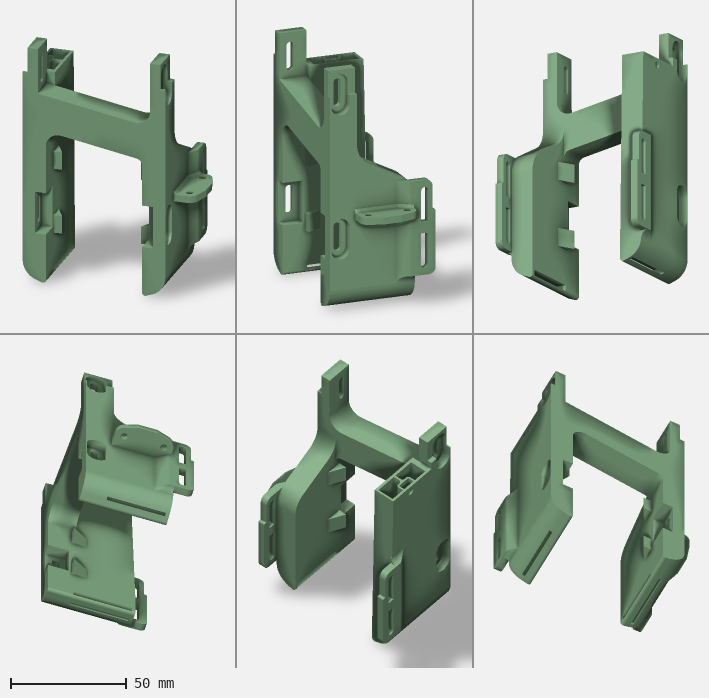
import cadquery as cq
import math


HEIGHT = 108.9
FRAME_DEPTH = 12.6
ARM_OUTER = 32.5
ARM_INNER = 21.9
ARM_DEPTH = 39.5
ARM_TOP_DEPTH = 37.8
ARM_TOP = 93.7
TAPER_START = 9.8

TAB_OUTER = 30.3
TAB_INNER = 25.5
TAB_STEP = 97.6

UPPER_FRAME_BASE = 43.6
BRIDGE_ANGLE = 10.0
BRIDGE_TOP_LEFT = 88.1
BRIDGE_BOTTOM_LEFT = 71.0
BRIDGE_FILLET = 6.0
BRIDGE_SMALL_FILLET = 3.0

FOOT_ANGLE = 19.0
FOOT_INNER = -0.52
FOOT_OUTER_FILLET = 9.1
FOOT_INNER_FILLET = 1.3

GUSSET_ANGLE = 27.0
GUSSET_START = 68.1
GUSSET_FILLET = 10.1

SLOT_WIDTH = 3.2
SLOT_LENGTH = 12.9
RECESS_MARGIN = 2.7
RECESS_DEPTH = 4.0
SLOT_Y = 4.9
SLOT_HEIGHTS = (32.6, 98.0)

NOTCH_DEPTH = 4.9
NOTCH_Y = 9.4
NOTCH_BOTTOM = 22.7
NOTCH_TOP = 42.0

WEDGE_REACH = 3.9
WEDGE_FRONT = 10.5
WEDGE_BACK = 17.8
WEDGE_HEIGHT = 8.2
WEDGE_BOTTOMS = (19.5, 49.3)

BELT_FRONT = 11.4
BELT_BACK = 37.9
BELT_BOTTOM = 0.9
BELT_TOP = 3.5
BELT_DEPTH = 5.4

EAR_INNER = 32.2
EAR_OUTER = 35.5
EAR_START = 31.3
EAR_RAMP_END = 36.3
EAR_RAMP_FILLET = 2.2
EAR_BODY_BACK = 39.2
EAR_UPPER_BACK = 46.6
EAR_BACK = 48.0
EAR_BOTTOM = 12.6
EAR_TOP = 55.8
EAR_STEP = 41.9
EAR_FILLET = 3.3
EAR_STEP_FILLET = 0.7
EAR_FLARE = EAR_OUTER - ARM_OUTER
STRAP_FRONT = 41.3
STRAP_WIDTH = 3.2
STRAP_OUTER_ENDS = (15.7, 52.5)
STRAP_INNER_ENDS = (31.6, 36.7)

LUG_BOTTOM = 41.0
LUG_THICKNESS = 3.2
LUG_REACH = 44.1
LUG_CENTER_Y = 24.5
LUG_HOLE_X = 38.3
LUG_HOLE_OFFSET = 8.9
LUG_HOLE_DIAMETER = 3.2
LUG_CORNER_RADIUS = 4.1
LUG_SIDE_ANGLE = 17.0
LUG_CHAMFER = 1.3

CAVITY_OUTER = 31.3
CAVITY_INNER = 23.2
CAVITY_FRONT = 15.2
CAVITY_BACK = 36.8
DIVIDER_Y = 26.1
PARTITION_WALL = 1.0
BOX_INNER = 27.4
BOX_WIDTH = 7.8
BOX_WALL = 0.9
BOX_CHAMFER = 0.9
CAVITY_BOTTOM = 54.5
COMPARTMENT_FLOOR = 76.2
FRONT_FLOOR_ANGLE = 27.0
BACK_FLOOR_ANGLE = 20.0
FLOOR_FILLET = 7.6
POCKET_FLOOR = 85.0
POCKET_FLOOR_ANGLE = 27.0
PIN_DIAMETER = 3.3
PIN_Z = 90.4


def block(x0, x1, y0, y1, z0, z1):
    return cq.Workplane("XY").box(x1 - x0, y1 - y0, z1 - z0, centered=False).translate((x0, y0, z0))


def side_profile(points, x0, x1):
    """Extrude a closed (Y, Z) outline from x0 to x1."""
    return cq.Workplane("YZ").workplane(offset=x0).polyline(points).close().extrude(x1 - x0)


def front_profile(points, y0, y1):
    """Extrude a closed (X, Z) outline from y0 to y1."""
    return cq.Workplane("XZ").workplane(offset=-y1).polyline(points).close().extrude(y1 - y0)


def plan_profile(points, z0, z1):
    """Extrude a closed (X, Y) outline from z0 to z1."""
    return cq.Workplane("XY").workplane(offset=z0).polyline(points).close().extrude(z1 - z0)


def round_edge(body, direction, point, radius):
    """Fillet the edge along `direction` that lies nearest to `point`."""
    return body.edges(f"|{direction}").edges(cq.NearestToPointSelector(point)).fillet(radius)


def mirrored(body):
    return body.mirror("YZ")


def tangent(degrees):
    return math.tan(math.radians(degrees))


def right_arm_column():
    """Full-depth column with a sloped and rounded foot."""
    foot_outer = FOOT_INNER + (ARM_OUTER - ARM_INNER) * tangent(FOOT_ANGLE)
    outline = [(ARM_INNER, FOOT_INNER), (ARM_OUTER, foot_outer),
               (ARM_OUTER, ARM_TOP), (ARM_INNER, ARM_TOP)]
    column = front_profile(outline, 0, ARM_DEPTH)
    column = round_edge(column, "Y", (ARM_OUTER, ARM_DEPTH / 2, foot_outer), FOOT_OUTER_FILLET)
    return round_edge(column, "Y", (ARM_INNER, ARM_DEPTH / 2, FOOT_INNER), FOOT_INNER_FILLET)


def left_arm():
    side = [(0, FOOT_INNER), (ARM_DEPTH, FOOT_INNER), (ARM_DEPTH, TAPER_START),
            (ARM_TOP_DEPTH, ARM_TOP), (0, ARM_TOP)]
    envelope = side_profile(side, -ARM_OUTER, -ARM_INNER)
    return mirrored(right_arm_column()).intersect(envelope)


def right_arm():
    slope = tangent(GUSSET_ANGLE)
    back_top = GUSSET_START - (ARM_DEPTH - FRAME_DEPTH) * slope
    side = [(0, FOOT_INNER), (ARM_DEPTH, FOOT_INNER), (ARM_DEPTH, back_top),
            (FRAME_DEPTH, GUSSET_START), (FRAME_DEPTH, ARM_TOP), (0, ARM_TOP)]
    middle_x = (ARM_INNER + ARM_OUTER) / 2
    envelope = side_profile(side, ARM_INNER, ARM_OUTER)
    envelope = round_edge(envelope, "X", (middle_x, ARM_DEPTH, back_top), GUSSET_FILLET)
    envelope = round_edge(envelope, "X", (middle_x, FRAME_DEPTH, GUSSET_START), GUSSET_FILLET)
    return right_arm_column().intersect(envelope)


def upper_frame():
    """Bridge with the stepped mounting tabs above it."""
    slope = tangent(BRIDGE_ANGLE)
    top_right = BRIDGE_TOP_LEFT - 2 * TAB_INNER * slope
    bottom_right = BRIDGE_BOTTOM_LEFT - 2 * ARM_INNER * slope
    base = UPPER_FRAME_BASE
    outline = [
        (-ARM_OUTER, base), (-ARM_OUTER, TAB_STEP), (-TAB_OUTER, TAB_STEP), (-TAB_OUTER, HEIGHT),
        (-TAB_INNER, HEIGHT), (-TAB_INNER, BRIDGE_TOP_LEFT), (TAB_INNER, top_right), (TAB_INNER, HEIGHT),
        (TAB_OUTER, HEIGHT), (TAB_OUTER, TAB_STEP), (ARM_OUTER, TAB_STEP), (ARM_OUTER, base),
        (ARM_INNER, base), (ARM_INNER, bottom_right), (-ARM_INNER, BRIDGE_BOTTOM_LEFT), (-ARM_INNER, base),
    ]
    middle_y = FRAME_DEPTH / 2
    frame = front_profile(outline, 0, FRAME_DEPTH)
    frame = round_edge(frame, "Y", (TAB_INNER, middle_y, top_right), BRIDGE_FILLET)
    frame = round_edge(frame, "Y", (-ARM_INNER, middle_y, BRIDGE_BOTTOM_LEFT), BRIDGE_FILLET)
    return round_edge(frame, "Y", (ARM_INNER, middle_y, bottom_right), BRIDGE_SMALL_FILLET)


def frame_and_arms():
    right = right_arm().cut(block(0, ARM_OUTER, 0, FRAME_DEPTH, UPPER_FRAME_BASE, ARM_TOP))
    left = left_arm().cut(block(-ARM_OUTER, 0, 0, FRAME_DEPTH, UPPER_FRAME_BASE, ARM_TOP))
    return upper_frame().union(left).union(right)


def screw_slot(z):
    width = SLOT_WIDTH + 2 * RECESS_MARGIN
    length = SLOT_LENGTH + 2 * RECESS_MARGIN
    plane = cq.Workplane("YZ").center(SLOT_Y, z)
    through = plane.workplane(offset=ARM_INNER).slot2D(SLOT_LENGTH, SLOT_WIDTH, 90)
    through = through.extrude(ARM_OUTER - ARM_INNER)
    recess = plane.workplane(offset=ARM_OUTER - RECESS_DEPTH).slot2D(length, width, 90)
    recess = recess.extrude(RECESS_DEPTH)
    return through.union(recess)


def arm_cuts():
    cuts = block(ARM_INNER, ARM_INNER + NOTCH_DEPTH, 0, NOTCH_Y, NOTCH_BOTTOM, NOTCH_TOP)
    belt_opening = block(ARM_INNER, ARM_INNER + BELT_DEPTH, BELT_FRONT, BELT_BACK, BELT_BOTTOM, BELT_TOP)
    cuts = cuts.union(belt_opening)
    for z in SLOT_HEIGHTS:
        cuts = cuts.union(screw_slot(z))
    return cuts


def guide_wedge(bottom):
    points = [(ARM_INNER, WEDGE_FRONT), (ARM_INNER - WEDGE_REACH, WEDGE_FRONT), (ARM_INNER, WEDGE_BACK)]
    return plan_profile(points, bottom, bottom + WEDGE_HEIGHT)


def strap_slot(outer_end, inner_end):
    """Slot with a round outer end and a square inner end."""
    radius = STRAP_WIDTH / 2
    toward_end = math.copysign(radius, outer_end - inner_end)
    back = STRAP_FRONT + STRAP_WIDTH
    return (
        cq.Workplane("YZ").workplane(offset=EAR_INNER)
        .moveTo(STRAP_FRONT, inner_end)
        .lineTo(STRAP_FRONT, outer_end - toward_end)
        .threePointArc((STRAP_FRONT + radius, outer_end), (back, outer_end - toward_end))
        .lineTo(back, inner_end)
        .close().extrude(EAR_OUTER - EAR_INNER)
    )


def ear(flare_at_top):
    """Slotted ear that ramps out of the arm side and reaches past its back."""
    flare_bottom = EAR_BOTTOM - EAR_FLARE
    flare_top = EAR_TOP + EAR_FLARE if flare_at_top else EAR_TOP

    strip_start = EAR_START - EAR_RAMP_FILLET
    plan = [(EAR_INNER, strip_start), (ARM_OUTER, strip_start), (ARM_OUTER, EAR_START),
            (EAR_OUTER, EAR_RAMP_END), (EAR_OUTER, EAR_BACK), (EAR_INNER, EAR_BACK)]
    body = plan_profile(plan, flare_bottom, flare_top)
    body = round_edge(body, "Z", (ARM_OUTER, EAR_START, EAR_STEP), EAR_RAMP_FILLET)
    body = round_edge(body, "Z", (EAR_OUTER, EAR_RAMP_END, EAR_STEP), EAR_RAMP_FILLET)

    outline = [(strip_start, flare_bottom), (EAR_BODY_BACK, flare_bottom), (EAR_BODY_BACK, EAR_BOTTOM),
               (EAR_BACK, EAR_BOTTOM), (EAR_BACK, EAR_STEP), (EAR_UPPER_BACK, EAR_STEP),
               (EAR_UPPER_BACK, EAR_TOP), (EAR_BODY_BACK, EAR_TOP)]
    if flare_at_top:
        outline.append((EAR_BODY_BACK, flare_top))
    outline.append((strip_start, flare_top))
    middle_x = (EAR_INNER + EAR_OUTER) / 2
    envelope = side_profile(outline, EAR_INNER, EAR_OUTER)
    envelope = round_edge(envelope, "X", (middle_x, EAR_BACK, EAR_BOTTOM), EAR_FILLET)
    envelope = round_edge(envelope, "X", (middle_x, EAR_UPPER_BACK, EAR_TOP), EAR_FILLET)
    envelope = round_edge(envelope, "X", (middle_x, EAR_BACK, EAR_STEP), EAR_STEP_FILLET)
    body = body.intersect(envelope)

    flare_ends = [flare_bottom, flare_top] if flare_at_top else [flare_bottom]
    for z in flare_ends:
        rounding = (
            cq.Workplane("XZ").workplane(offset=-EAR_BODY_BACK)
            .center(ARM_OUTER + EAR_FLARE, z).circle(EAR_FLARE)
            .extrude(EAR_BODY_BACK - strip_start)
        )
        body = body.cut(rounding)

    for outer_end, inner_end in zip(STRAP_OUTER_ENDS, STRAP_INNER_ENDS):
        body = body.cut(strap_slot(outer_end, inner_end))
    return body


def lug():
    angle = math.radians(LUG_SIDE_ANGLE)
    corner_dx = LUG_CORNER_RADIUS * math.cos(angle)
    corner_dy = LUG_CORNER_RADIUS * math.sin(angle)
    mid_angle = (angle + math.pi / 2) / 2
    mid_dx = LUG_CORNER_RADIUS * math.cos(mid_angle)
    mid_dy = LUG_CORNER_RADIUS * math.sin(mid_angle)
    side_x = LUG_HOLE_X + corner_dx
    tip_y = LUG_HOLE_OFFSET + corner_dy - (LUG_REACH - side_x) / math.tan(angle)
    edge_y = LUG_HOLE_OFFSET + LUG_CORNER_RADIUS
    plate = (
        cq.Workplane("XY").workplane(offset=LUG_BOTTOM).center(0, LUG_CENTER_Y)
        .moveTo(EAR_INNER, -edge_y)
        .lineTo(LUG_HOLE_X, -edge_y)
        .threePointArc((LUG_HOLE_X + mid_dx, -LUG_HOLE_OFFSET - mid_dy),
                       (side_x, -LUG_HOLE_OFFSET - corner_dy))
        .lineTo(LUG_REACH, -tip_y)
        .lineTo(LUG_REACH, tip_y)
        .lineTo(side_x, LUG_HOLE_OFFSET + corner_dy)
        .threePointArc((LUG_HOLE_X + mid_dx, LUG_HOLE_OFFSET + mid_dy), (LUG_HOLE_X, edge_y))
        .lineTo(EAR_INNER, edge_y)
        .close().extrude(LUG_THICKNESS)
    )
    holes = (
        cq.Workplane("XY").workplane(offset=LUG_BOTTOM)
        .pushPoints([(LUG_HOLE_X, LUG_CENTER_Y + side * LUG_HOLE_OFFSET) for side in (-1, 1)])
        .circle(LUG_HOLE_DIAMETER / 2).extrude(LUG_THICKNESS)
    )
    return plate.cut(holes).union(lug_bevel(edge_y))


def lug_bevel(edge_y):
    """45 degree bevel on top of the lug, following the arm side and the ear's ramp."""
    top = LUG_BOTTOM + LUG_THICKNESS
    front = LUG_CENTER_Y - edge_y
    back = LUG_CENTER_Y + edge_y
    path = [(ARM_INNER, 0), (ARM_OUTER, 0), (ARM_OUTER, EAR_START), (EAR_OUTER, EAR_RAMP_END),
            (EAR_OUTER, EAR_BACK), (ARM_INNER, EAR_BACK)]
    bevel = (
        cq.Workplane("XY").workplane(offset=top)
        .polyline(path).close().offset2D(LUG_CHAMFER, "intersection")
        .extrude(LUG_CHAMFER, taper=45)
    )
    return bevel.intersect(block(EAR_INNER, LUG_REACH, front, back, top, top + LUG_CHAMFER))


def front_compartment():
    """Floor falls toward the front, curving up into the partition."""
    back = DIVIDER_Y - PARTITION_WALL / 2
    floor_front = COMPARTMENT_FLOOR - (back - CAVITY_FRONT) * tangent(FRONT_FLOOR_ANGLE)
    outline = [(CAVITY_FRONT, floor_front), (back, COMPARTMENT_FLOOR),
               (back, ARM_TOP), (CAVITY_FRONT, ARM_TOP)]
    space = side_profile(outline, -CAVITY_OUTER, -CAVITY_INNER)
    middle_x = -(CAVITY_OUTER + CAVITY_INNER) / 2
    return round_edge(space, "X", (middle_x, back, COMPARTMENT_FLOOR), FLOOR_FILLET)


def back_compartment():
    """Floor falls toward the inner side, curving up into the outer wall."""
    front = DIVIDER_Y + PARTITION_WALL / 2
    floor_inner = COMPARTMENT_FLOOR - (CAVITY_OUTER - CAVITY_INNER) * tangent(BACK_FLOOR_ANGLE)
    outline = [(-CAVITY_OUTER, COMPARTMENT_FLOOR), (-CAVITY_INNER, floor_inner),
               (-CAVITY_INNER, ARM_TOP), (-CAVITY_OUTER, ARM_TOP)]
    space = front_profile(outline, front, CAVITY_BACK)
    middle_y = (front + CAVITY_BACK) / 2
    return round_edge(space, "Y", (-CAVITY_OUTER, middle_y, COMPARTMENT_FLOOR), FLOOR_FILLET)


def divider():
    """Screw box on the outer wall, chamfered and flared into the partition."""
    half_box = BOX_WIDTH / 2
    half_wall = PARTITION_WALL / 2
    half_outline = [
        (-CAVITY_OUTER, half_box),
        (-BOX_INNER - BOX_CHAMFER, half_box),
        (-BOX_INNER, half_box - BOX_CHAMFER),
        (-BOX_INNER, half_wall + BOX_CHAMFER),
        (-BOX_INNER + BOX_CHAMFER, half_wall),
        (-CAVITY_INNER, half_wall),
    ]
    outline = [(x, DIVIDER_Y + y) for x, y in half_outline]
    outline += [(x, DIVIDER_Y - y) for x, y in reversed(half_outline)]
    return plan_profile(outline, CAVITY_BOTTOM, ARM_TOP)


def screw_pocket():
    """Pocket inside the screw box with a V-shaped floor."""
    half_width = BOX_WIDTH / 2 - BOX_WALL
    floor_edge = POCKET_FLOOR + half_width * tangent(POCKET_FLOOR_ANGLE)
    front = DIVIDER_Y - half_width
    back = DIVIDER_Y + half_width
    outline = [(front, floor_edge), (DIVIDER_Y, POCKET_FLOOR), (back, floor_edge),
               (back, ARM_TOP), (front, ARM_TOP)]
    return side_profile(outline, -CAVITY_OUTER, -BOX_INNER - BOX_WALL)


def cavity():
    spaces = front_compartment().union(back_compartment())
    pin_hole = (
        cq.Workplane("YZ").workplane(offset=-ARM_OUTER).center(DIVIDER_Y, PIN_Z)
        .circle(PIN_DIAMETER / 2).extrude(ARM_OUTER - BOX_INNER - BOX_WALL)
    )
    return spaces.cut(divider()).union(screw_pocket()).union(pin_hole)


def build():
    body = frame_and_arms()
    for bottom in WEDGE_BOTTOMS:
        wedge = guide_wedge(bottom)
        body = body.union(wedge).union(mirrored(wedge))
    body = body.union(mirrored(ear(flare_at_top=True)))
    body = body.union(ear(flare_at_top=False))
    body = body.union(lug())
    cuts = arm_cuts()
    return body.cut(cuts).cut(mirrored(cuts)).cut(cavity())


result = build()